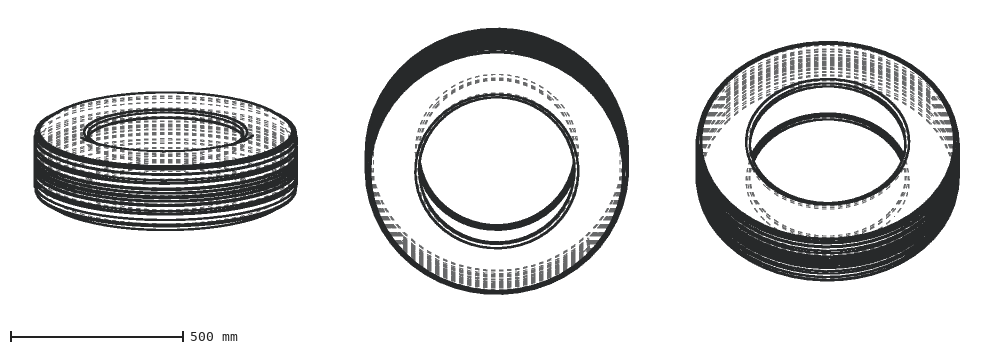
import cadquery as cq
import math

tread_radius = 381.0
shoulder_step = 2.0
shoulder_radius = tread_radius - shoulder_step
crown_half_width = 69.0
crown_bevel = 1.5
shoulder_half_width = 83.0
shoulder_edge_radius = 376.5
shoulder_edge_height = 88.5

ledge_outer_radius = 370.5
ledge_inner_radius = 367.5
ledge_height = 91.0

tire_width = 232.5
half_width = tire_width / 2
crest_radius = 310.0
bulge_arc_radius = 74.0
bulge_outer_radius = 362.0
bulge_inner_radius = 263.0

bead_radius = 226.0
bead_face_radius = 237.0
bead_face_height = 88.5
bead_step = 1.0
bead_heel_height = 82.0
bead_toe_height = 68.0
toe_bevel = 3.0
toe_ledge_radius = 234.0
toe_height = bead_toe_height - toe_bevel

cavity_radius = 358.0
cavity_half_height = 93.0
cavity_corner_radius = 27.0
cavity_corner_start = cavity_radius - cavity_corner_radius
cavity_flank_span = cavity_corner_start - toe_ledge_radius
cavity_flank_drop = cavity_half_height - toe_height
cavity_flank_arc_radius = (cavity_flank_span**2 + cavity_flank_drop**2) / (2 * cavity_flank_drop)
cavity_flank_middle = (cavity_corner_start + toe_ledge_radius) / 2

center_groove = (0, 5.0, 9.0)
mirrored_grooves = [
    (12.0, 1.5, 4.5),
    (24.5, 4.0, 9.0),
    (46.5, 11.0, 11.5),
]


def arc_height(radius, peak_radius, peak_height, arc_radius):
    """Height, at a given radius, of an arc that peaks at the given point."""
    return peak_height - arc_radius + math.sqrt(arc_radius**2 - (radius - peak_radius) ** 2)


def bulge_point(radius):
    """Point on the outer sidewall arc."""
    return radius, arc_height(radius, crest_radius, half_width, bulge_arc_radius)


def cavity_flank_point(radius):
    """Point on the inner sidewall arc."""
    return radius, arc_height(
        radius, cavity_corner_start, cavity_half_height, cavity_flank_arc_radius
    )


def upper_half():
    """Revolve the half section above the mid-plane; sketch axes are radius and height."""
    section = (
        cq.Workplane("XZ")
        .moveTo(cavity_radius, 0)
        .lineTo(tread_radius, 0)
        .lineTo(tread_radius, crown_half_width - crown_bevel)
        .lineTo(shoulder_radius, crown_half_width)
        .lineTo(shoulder_radius, shoulder_half_width)
        .lineTo(shoulder_edge_radius, shoulder_edge_height)
        .lineTo(ledge_outer_radius, ledge_height)
        .lineTo(ledge_inner_radius, ledge_height)
        .lineTo(*bulge_point(bulge_outer_radius))
        .threePointArc((crest_radius, half_width), bulge_point(bulge_inner_radius))
        .tangentArcPoint((bead_face_radius, bead_face_height), relative=False)
        .lineTo(bead_face_radius - bead_step, bead_face_height - bead_step)
        .lineTo(bead_face_radius - 2 * bead_step, bead_face_height - bead_step)
        .tangentArcPoint((bead_radius, bead_heel_height), relative=False)
        .lineTo(bead_radius, bead_toe_height)
        .lineTo(bead_radius + toe_bevel, toe_height)
        .lineTo(toe_ledge_radius, toe_height)
        .threePointArc(
            cavity_flank_point(cavity_flank_middle),
            (cavity_corner_start, cavity_half_height),
        )
        .tangentArcPoint((cavity_corner_radius, -cavity_corner_radius))
        .close()
    )
    return section.revolve(360, (0, 0, 0), (0, 1, 0))


def groove_ring(height, width, depth):
    """Ring that cuts one groove into the tread."""
    return (
        cq.Workplane("XY", origin=(0, 0, height - width / 2))
        .circle(tread_radius + depth)
        .circle(tread_radius - depth)
        .extrude(width)
    )


upper = upper_half()
result = upper.union(upper.mirror("XY"))

result = result.cut(groove_ring(*center_groove))
for height, width, depth in mirrored_grooves:
    for side in (1, -1):
        result = result.cut(groove_ring(side * height, width, depth))